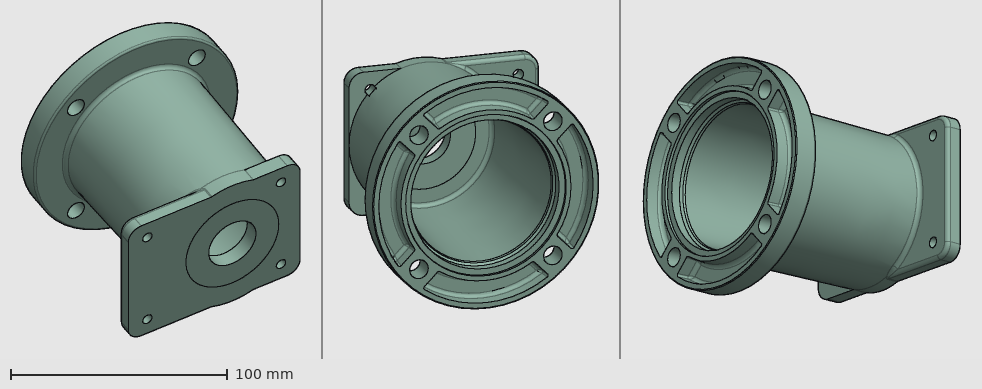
import cadquery as cq
import math

total_length = 98.0
total_width = 111.0
selection_margin = 0.1
rim_fillet = 2.0

flange_diameter = 110.0
flange_thickness = 12.2
flange_front_chamfer = 0.4
flange_back_fillet = 1.0

tube_start_radius = 38.0
tube_end_radius = 36.5

plate_thickness = 7.8
plate_front = total_length - plate_thickness
plate_y_min = flange_diameter / 2 - total_width
plate_y_max = tube_end_radius
plate_half_height = 34.7
plate_corner_radius = 7.0
plate_center_y = (plate_y_min + plate_y_max) / 2
plate_hole_diameter = 5.0
plate_hole_span_y = 71.9
plate_hole_span_z = 51.7
plate_hole_overrun = 2.7
plate_hole_depth = plate_thickness + plate_hole_overrun

recess_diameter = 78.0
recess_depth = 1.5
seat_diameter = 72.0
seat_depth = 4.7
seat_chamfer = 1.1
land_length = 1.1
bore_start_radius = 34.5
bore_end_radius = 33.5
floor_thickness = plate_thickness
floor_start = total_length - floor_thickness

flange_hole_diameter = 9.0
flange_hole_circle = 92.0

pocket_inner_radius = 41.3
pocket_outer_radius = 52.1
pocket_depth = 8.0
rib_half_width = 8.0
rib_angle = 45
pocket_draft = 3
pocket_corner_radius = 1.0
pocket_count = 4

bush_outer_diameter = 50.0
bush_bore_diameter = 25.4


def disc(radius, start, length):
    """Solid cylinder on the X axis."""
    return cq.Workplane("YZ").workplane(offset=start).circle(radius).extrude(length)


def revolved(points):
    """Turn an (X, radius) outline around the X axis."""
    return cq.Workplane("XY").polyline(points).close().revolve(360, (0, 0, 0), (1, 0, 0))


def edges_around_axis(x, radius, half_height=None):
    """Selector for edges in the plane X = x whose centers lie within the radius and half height."""
    reach = radius + selection_margin
    height = half_height or reach
    return cq.selectors.BoxSelector(
        (x - selection_margin, -reach, -height),
        (x + selection_margin, reach, height),
    )


def flange_and_tube():
    """Round flange with the tapered tube behind it."""
    flange = disc(flange_diameter / 2, 0, flange_thickness)
    flange = flange.faces("<X").chamfer(flange_front_chamfer)
    flange = flange.faces(">X").edges().fillet(flange_back_fillet)
    tube = revolved([
        (flange_thickness / 2, 0),
        (flange_thickness / 2, tube_start_radius),
        (flange_thickness, tube_start_radius),
        (plate_front, tube_end_radius),
        (plate_front, 0),
    ])
    body = flange.union(tube)
    tube_root = edges_around_axis(flange_thickness, tube_start_radius)
    return body.edges(tube_root).fillet(rim_fillet)


def plate_outline(y_min, y_max):
    """Plate block from y_min to y_max, before its corners are rounded."""
    return (
        cq.Workplane("XY")
        .box(plate_thickness, y_max - y_min, 2 * plate_half_height, centered=(False, False, True))
        .translate((plate_front, y_min, 0))
    )


def end_plate():
    """Mounting plate: a sharp-edged short wing, a round middle and a long wing with a rounded edge."""
    long_wing = plate_outline(plate_y_min, 0).edges("|X and <Y").fillet(plate_corner_radius)
    long_wing = long_wing.faces("<X").edges("not >Y").fillet(rim_fillet)
    short_wing = plate_outline(0, plate_y_max).edges("|X and >Y").fillet(plate_corner_radius)
    middle = disc(tube_end_radius, plate_front, plate_thickness)
    return long_wing.union(short_wing).union(middle)


def round_wing_root(body):
    """Fillet the arc where the tube runs into the long wing; its middle lies on the XY plane."""
    wing_root = edges_around_axis(plate_front, tube_end_radius, half_height=selection_margin)
    return body.edges(wing_root).edges("%CIRCLE").fillet(rim_fillet)


def main_bore():
    """Stepped and tapered bore, from the flange recess to the filleted floor."""
    seat_radius = seat_diameter / 2
    seat_end = recess_depth + seat_depth
    land_radius = seat_radius - seat_chamfer
    land_start = seat_end + seat_chamfer
    bore = revolved([
        (0, 0),
        (0, recess_diameter / 2),
        (recess_depth, recess_diameter / 2),
        (recess_depth, seat_radius),
        (seat_end, seat_radius),
        (land_start, land_radius),
        (land_start + land_length, bore_start_radius),
        (floor_start, bore_end_radius),
        (floor_start, 0),
    ])
    return bore.faces(">X").edges().fillet(rim_fillet)


def flange_pockets():
    """Four curved pockets with drafted walls, parted by ribs of constant width on the diagonals."""
    lean = pocket_depth * math.tan(math.radians(pocket_draft))
    ring = revolved([
        (0, pocket_inner_radius),
        (0, pocket_outer_radius),
        (pocket_depth, pocket_outer_radius - lean),
        (pocket_depth, pocket_inner_radius + lean),
    ])
    rib = (
        cq.Workplane("XY")
        .polyline([
            (0, -rib_half_width),
            (0, rib_half_width),
            (pocket_depth, rib_half_width + lean),
            (pocket_depth, -rib_half_width - lean),
        ])
        .close()
        .extrude(flange_diameter / 2, both=True)
    )
    for angle in (rib_angle, rib_angle + 90):
        ring = ring.cut(rib.rotate((0, 0, 0), (1, 0, 0), angle))
    pocket = cq.Workplane(ring.solids(">Z").val())
    pocket = pocket.edges("not(<X or >X)").fillet(pocket_corner_radius)
    pocket = pocket.faces(">X").edges().fillet(rim_fillet)
    return [pocket.rotate((0, 0, 0), (1, 0, 0), 360 / pocket_count * i) for i in range(pocket_count)]


def flange_holes():
    """Through holes in the flange, one in each rib."""
    return (
        cq.Workplane("YZ")
        .polarArray(flange_hole_circle / 2, rib_angle, 360, pocket_count)
        .circle(flange_hole_diameter / 2)
        .extrude(flange_thickness)
    )


def plate_holes():
    """Holes in the plate; the pair beside the tube runs a little into its wall."""
    return (
        cq.Workplane("YZ", origin=(total_length, plate_center_y, 0))
        .rarray(plate_hole_span_y, plate_hole_span_z, 2, 2)
        .circle(plate_hole_diameter / 2)
        .extrude(-plate_hole_depth)
    )


def make_housing():
    housing = round_wing_root(flange_and_tube().union(end_plate()))
    housing = housing.cut(main_bore()).cut(flange_holes()).cut(plate_holes())
    for pocket in flange_pockets():
        housing = housing.cut(pocket)
    return housing.cut(disc(bush_outer_diameter / 2, floor_start, floor_thickness))


def make_bush():
    """Ring that fills the opening in the housing floor, flush on both sides."""
    bush = disc(bush_outer_diameter / 2, floor_start, floor_thickness)
    return bush.cut(disc(bush_bore_diameter / 2, floor_start, floor_thickness))


housing = make_housing()
bush = make_bush()

result = cq.Compound.makeCompound([housing.val(), bush.val()])